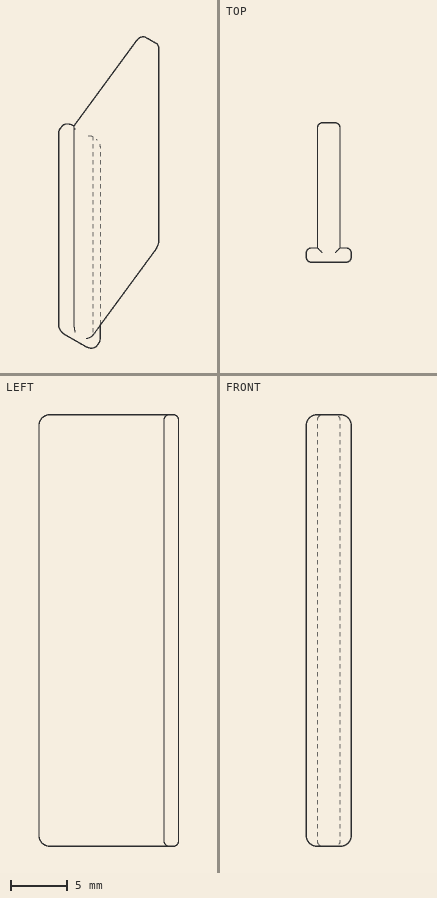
import cadquery as cq

height = 38.0
width = 4.0
depth = 12.3

flange_thickness = 1.3
web_thickness = 2.0
corner_radius = 1.0
edge_radius = 0.5

front_y = -depth / 2


def make_flange():
    """Upright bar with rounded corners and all its edges rounded over."""
    bar = cq.Workplane("XY").box(width, flange_thickness, height)
    bar = bar.edges("|Y").fillet(corner_radius)
    bar = bar.faces("<Y or >Y").edges().fillet(edge_radius)
    return bar.translate((0, front_y + flange_thickness / 2, 0))


def make_web():
    """Plate running back from the middle of the flange, rounded at its free edges."""
    start_y = front_y + flange_thickness / 2
    length = depth / 2 - start_y
    plate = cq.Workplane("XY").box(web_thickness, length, height)
    plate = plate.edges("|X and >Y").fillet(corner_radius)
    rounded = plate.faces("<X or >X").edges("not <Y").fillet(edge_radius)
    return rounded.translate((0, start_y + length / 2, 0))


result = make_flange().union(make_web())